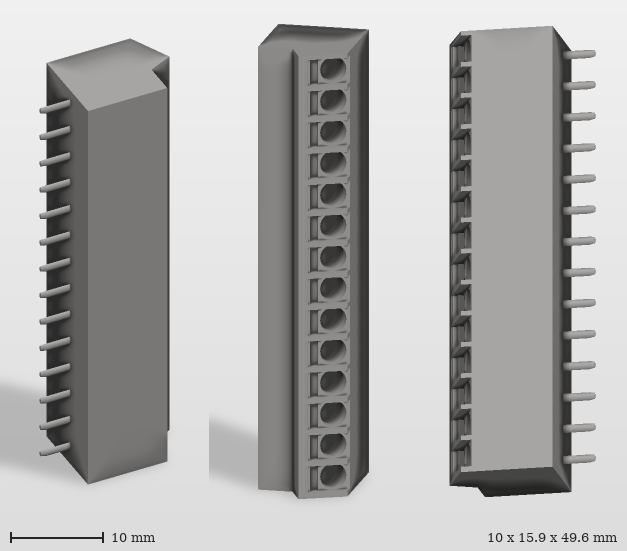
import cadquery as cq
import math


LENGTH = 49.6
WIDTH = 10.0
PEAK_HEIGHT = 12.4
ENTRY_EDGE_HEIGHT = 10.1
SHELF_HEIGHT = 9.55
ENTRY_ANGLE = 25.0
SLOPE_TANGENT = math.tan(math.radians(ENTRY_ANGLE))

POLE_COUNT = 14
END_PLATE = 0.6
POLE_PITCH = (LENGTH - END_PLATE) / POLE_COUNT

CAVITY_LENGTH = 3.0
CAVITY_SHIFT = 0.25
NOTCH_DEPTH = 1.05
NOTCH_END = 3.05
RECESS_DEPTH = 1.6
STAIR_TOP = 4.65
TREAD_RUN = 0.35
TREAD_RISE = 0.15
UPPER_RISER = 0.35
CLEARANCE = 1.0

HOLE_RADIUS = 1.45
HOLE_CENTRE = 1.35
CLAMP_START = 0.9
CLAMP_ANGLE = 36.6

PIN_ARC_RADIUS = 0.55
PIN_THICKNESS = 0.5
PIN_X = 5.6
PIN_LENGTH = 3.5
TIP_LENGTH = 0.6
TIP_CUT = 0.15


def pole_centre(index):
    """Z of a pole, counted down from the Z = LENGTH end."""
    return LENGTH - POLE_PITCH * (index + 0.5)


def entry_plane(z):
    """Plane whose x runs up the entry face (u) and whose y points out of it (v)."""
    angle = math.radians(ENTRY_ANGLE)
    return cq.Plane(
        origin=(0, ENTRY_EDGE_HEIGHT, z),
        xDir=(math.cos(angle), math.sin(angle), 0),
        normal=(0, 0, 1),
    )


def make_housing():
    peak_x = (PEAK_HEIGHT - ENTRY_EDGE_HEIGHT) / SLOPE_TANGENT
    shelf_x = peak_x + (PEAK_HEIGHT - SHELF_HEIGHT) * SLOPE_TANGENT
    outline = [
        (0, 0),
        (WIDTH, 0),
        (WIDTH, SHELF_HEIGHT),
        (shelf_x, SHELF_HEIGHT),
        (peak_x, PEAK_HEIGHT),
        (0, ENTRY_EDGE_HEIGHT),
    ]
    return cq.Workplane("XY").polyline(outline).close().extrude(LENGTH)


def make_stepped_notch(z):
    """Notch open to the -X side, a deeper recess behind it and a two-step stair up to the face."""
    upper_step = STAIR_TOP - TREAD_RUN
    stair_foot = upper_step - TREAD_RUN
    lower_tread_top = -TREAD_RISE - UPPER_RISER
    profile = [
        (-CLEARANCE, -NOTCH_DEPTH),
        (NOTCH_END, -NOTCH_DEPTH),
        (NOTCH_END, -RECESS_DEPTH),
        (stair_foot, -RECESS_DEPTH),
        (stair_foot, lower_tread_top - TREAD_RISE),
        (upper_step, lower_tread_top),
        (upper_step, -TREAD_RISE),
        (STAIR_TOP, 0),
        (STAIR_TOP, CLEARANCE),
        (-CLEARANCE, CLEARANCE),
    ]
    return cq.Workplane(entry_plane(z)).polyline(profile).close().extrude(CAVITY_LENGTH / 2, both=True)


def make_wire_hole(z):
    """Round hole whose end is cut off by the slanting clamp face."""
    far = HOLE_CENTRE + HOLE_RADIUS
    near = HOLE_CENTRE - HOLE_RADIUS
    clamp_top = -NOTCH_DEPTH - CLAMP_START
    clamp_bottom = clamp_top - 2 * HOLE_RADIUS / math.tan(math.radians(CLAMP_ANGLE))
    side_profile = [(near, 0), (far, 0), (far, clamp_top), (near, clamp_bottom)]
    envelope = cq.Workplane(entry_plane(z)).polyline(side_profile).close().extrude(HOLE_RADIUS, both=True)

    face = entry_plane(z)
    axis_plane = cq.Plane(
        origin=face.toWorldCoords((HOLE_CENTRE, 0, 0)),
        xDir=face.xDir,
        normal=-face.yDir,
    )
    return cq.Workplane(axis_plane).circle(HOLE_RADIUS).extrude(-clamp_bottom).intersect(envelope)


def make_pin():
    """Pin on the Y axis, rooted slightly inside the housing; only its +X arc tapers at the tip."""
    root = PIN_ARC_RADIUS
    arc_offset = PIN_ARC_RADIUS - PIN_THICKNESS / 2

    def arc_rod(axis_x):
        rod = cq.Workplane("XZ", origin=(axis_x, root, 0)).circle(PIN_ARC_RADIUS)
        return rod.extrude(PIN_LENGTH + root)

    front_rod = arc_rod(arc_offset)
    back_rod = arc_rod(-arc_offset).faces("<Y").chamfer(TIP_LENGTH, TIP_CUT)
    return front_rod.intersect(back_rod)


result = make_housing()
solder_pin = make_pin()
for pole in range(POLE_COUNT):
    pole_z = pole_centre(pole)
    cavity_z = pole_z - CAVITY_SHIFT
    result = result.cut(make_stepped_notch(cavity_z))
    result = result.cut(make_wire_hole(cavity_z))
    result = result.union(solder_pin.translate((PIN_X, 0, pole_z)))